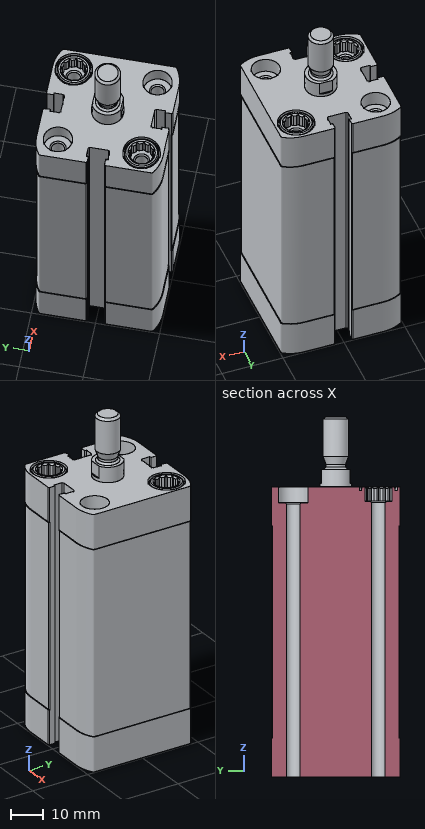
import cadquery as cq
import math

total_height = 110.5
housing_height = 89.1
housing_width = 39.5
cap_height = 12.2
tube_inset = 0.2
corner_radius = 11.8
corner_edge_radius = 0.7

slot_angles = (90, 180, 270)
slot_depth = 5.6
slot_lip_depth = 2.3
slot_mouth_width = 5.4
slot_inner_width = 6.7
slot_mouth_chamfer = 0.3
slot_floor_chamfer = 0.4

hole_offset = 13.0
hole_diameter = 4.1
hole_mouth_diameter = 5.0
counterbore_diameter = 9.0
counterbore_depth = 4.9

head_recess_diameter = 11.5
head_recess_depth = 1.1
head_diameter = 10.5
head_top_diameter = 9.7
socket_mouth_diameter = 8.4
socket_point_diameter = 8.2
socket_bore_diameter = 7.3
socket_depth = 4.4
socket_square_count = 3

collar_diameter = 10.0
collar_height = 5.3
flat_spacing = 9.0
flat_start_height = 1.1
neck_diameter = 6.2
neck_flare_diameter = 7.5
neck_height = 0.9
thread_diameter = 8.0
thread_taper_height = 2.4
thread_end_chamfer = 0.8

half_width = housing_width / 2
tube_height = housing_height - 2 * cap_height


def side_slot(side, base, height, angle):
    """Cutter for a T-shaped slot in the flat at X = `side`, turned by `angle` about Z."""
    lip_x = half_width - slot_lip_depth
    floor_x = half_width - slot_depth
    chamfer_x = side - slot_mouth_chamfer
    mouth = slot_mouth_width / 2
    inner = slot_inner_width / 2
    upper_half = [
        (side, mouth + slot_mouth_chamfer),
        (chamfer_x, mouth),
        (lip_x, mouth),
        (lip_x, inner),
        (floor_x + slot_floor_chamfer, inner),
        (floor_x, inner - slot_floor_chamfer),
    ]
    lower_half = [(x, -y) for x, y in reversed(upper_half)]
    outline = cq.Workplane("XY", origin=(0, 0, base)).polyline(upper_half + lower_half).close()
    return outline.extrude(height).rotate((0, 0, 0), (0, 0, 1), angle)


def housing_section(inset, base, height):
    """A prism of the housing outline, moved in by `inset` on every side, with its slots."""
    side = half_width - inset
    radius = corner_radius - inset
    center_y = half_width - corner_radius
    start = hole_offset
    sine = (side - start) / radius
    end_y = center_y + radius * math.sqrt(1 - sine**2)
    half_angle = math.asin(sine) / 2
    middle_x = start + radius * math.sin(half_angle)
    middle_y = center_y + radius * math.cos(half_angle)
    prism = (
        cq.Workplane("XY", origin=(0, 0, base))
        .moveTo(-start, side)
        .lineTo(start, side)
        .threePointArc((middle_x, middle_y), (side, end_y))
        .lineTo(side, -end_y)
        .threePointArc((middle_x, -middle_y), (start, -side))
        .lineTo(-start, -side)
        .threePointArc((-middle_x, -middle_y), (-side, -end_y))
        .lineTo(-side, end_y)
        .threePointArc((-middle_x, middle_y), (-start, side))
        .close()
        .extrude(height)
    )
    prism = prism.edges("|Z and (>X or <X)").fillet(corner_edge_radius)
    for angle in slot_angles:
        prism = prism.cut(side_slot(side, base, height, angle))
    return prism


def cylinder(diameter, base, height):
    return cq.Workplane("XY", origin=(0, 0, base)).circle(diameter / 2).extrude(height)


def cone(lower_diameter, upper_diameter, base):
    """A 45 degree cone frustum that stands on height `base`."""
    lower = lower_diameter / 2
    upper = upper_diameter / 2
    top = base + abs(upper - lower)
    return (
        cq.Workplane("XZ")
        .polyline([(0, base), (lower, base), (upper, top), (0, top)])
        .close()
        .revolve(360, (0, 0, 0), (0, 1, 0))
    )


def through_hole(floor):
    """Cutter for a through hole that widens where it meets the floor above it."""
    depth = (hole_mouth_diameter - hole_diameter) / 2
    return cylinder(hole_diameter, 0, floor).union(
        cone(hole_diameter, hole_mouth_diameter, floor - depth)
    )


def counterbored_hole():
    floor = housing_height - counterbore_depth
    return through_hole(floor).union(cylinder(counterbore_diameter, floor, counterbore_depth))


def screw_head_hole():
    """Cutter for a hole with a star socket, and a groove that frees the screw head around it."""
    floor = housing_height - socket_depth
    mouth_depth = (socket_mouth_diameter - socket_bore_diameter) / 2
    socket = cylinder(socket_bore_diameter, floor, socket_depth)
    square_side = socket_point_diameter / math.sqrt(2)
    for index in range(socket_square_count):
        square = cq.Workplane("XY", origin=(0, 0, floor)).rect(square_side, square_side)
        turn = 45 + index * 90 / socket_square_count
        socket = socket.union(square.extrude(socket_depth).rotate((0, 0, 0), (0, 0, 1), turn))
    socket = socket.union(
        cone(socket_bore_diameter, socket_mouth_diameter, housing_height - mouth_depth)
    )
    edge_height = (head_diameter - head_top_diameter) / 2
    recess_floor = housing_height - head_recess_depth
    head = cylinder(head_diameter, recess_floor, head_recess_depth - edge_height).union(
        cone(head_diameter, head_top_diameter, housing_height - edge_height)
    )
    groove = cylinder(head_recess_diameter, recess_floor, head_recess_depth).cut(head)
    return through_hole(floor).union(socket).union(groove)


def make_housing():
    body = housing_section(0, 0, cap_height)
    body = body.union(housing_section(tube_inset, cap_height, tube_height))
    body = body.union(housing_section(0, housing_height - cap_height, cap_height))
    for side in (-1, 1):
        x = side * hole_offset
        body = body.cut(counterbored_hole().translate((x, -x, 0)))
        body = body.cut(screw_head_hole().translate((x, x, 0)))
    return body


def make_rod():
    """The piston rod end: a collar with two wrench flats, a neck and a stud."""
    collar_top = housing_height + collar_height
    flare_height = (neck_flare_diameter - neck_diameter) / 2
    neck_base = collar_top + flare_height
    neck_top = neck_base + neck_height
    thread_base = neck_top + thread_taper_height
    rod = (
        cq.Workplane("XZ")
        .moveTo(0, housing_height)
        .lineTo(collar_diameter / 2, housing_height)
        .lineTo(collar_diameter / 2, collar_top)
        .lineTo(neck_flare_diameter / 2, collar_top)
        .lineTo(neck_diameter / 2, neck_base)
        .lineTo(neck_diameter / 2, neck_top)
        .lineTo(thread_diameter / 2, thread_base)
        .lineTo(thread_diameter / 2, total_height - thread_end_chamfer)
        .lineTo(thread_diameter / 2 - thread_end_chamfer, total_height)
        .lineTo(0, total_height)
        .close()
        .revolve(360, (0, 0, 0), (0, 1, 0))
    )
    flat_height = collar_height - flat_start_height
    flat_base = housing_height + flat_start_height
    outside_flats = (
        cq.Workplane("XY", origin=(0, 0, flat_base))
        .rect(2 * collar_diameter, 2 * collar_diameter)
        .rect(2 * collar_diameter, flat_spacing)
        .extrude(flat_height)
    )
    return rod.cut(outside_flats)


housing = make_housing()
rod = make_rod()
result = cq.Compound.makeCompound([housing.val(), rod.val()])